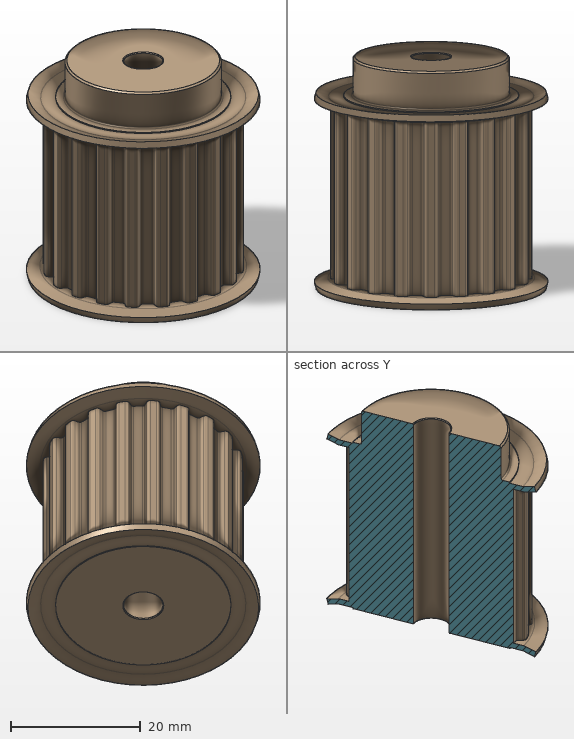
import cadquery as cq
import math

total_height = 36.27
hub_height = 5.7
body_height = total_height - hub_height

hub_radius = 12.05
hub_chamfer = 0.3
hub_root_fillet = 0.25
bore_radius = 3.0
bore_chamfer = 0.15

shoulder_radius = 13.5
shoulder_step = 0.18

flange_diameter = 36.0
flange_radius = flange_diameter / 2
flange_thickness = 1.0
flange_bend_radius = 15.92
flange_tilt = math.radians(15)
rim_rise = (flange_radius - flange_bend_radius) * math.tan(flange_tilt)
rim_depth = flange_thickness * math.cos(flange_tilt)
flange_depth = rim_depth + rim_rise
lip_radius = flange_radius - flange_thickness * math.sin(flange_tilt)
dish_depth = flange_depth - flange_thickness
dish_radius = lip_radius - dish_depth / math.tan(flange_tilt)
shoulder_top = body_height - dish_depth + shoulder_step

tooth_count = 20
tooth_pitch_angle = 360 / tooth_count
tip_radius = 15.5
groove_depth = 1.3
groove_floor_width = 1.9
groove_flank_angle = math.radians(25)
groove_root_fillet = 0.4
tooth_tip_fillet = 0.58
root_radius = tip_radius - groove_depth
belt_bottom = flange_depth
belt_height = body_height - 2 * flange_depth


def make_groove():
    """Trapezoidal groove cutter along +X, overshooting the tooth tips."""
    overshoot = 0.35
    half_floor = groove_floor_width / 2
    half_mouth = half_floor + (groove_depth + overshoot) * math.tan(groove_flank_angle)
    mouth_x = tip_radius + overshoot
    return (
        cq.Workplane("XY", origin=(0, 0, belt_bottom))
        .moveTo(root_radius, -half_floor)
        .lineTo(mouth_x, -half_mouth)
        .lineTo(mouth_x, half_mouth)
        .lineTo(root_radius, half_floor)
        .close()
        .extrude(belt_height)
        .edges("|Z and <X")
        .fillet(groove_root_fillet)
    )


def make_belt_section():
    """Cylinder with evenly spaced grooves and rounded tooth tips."""
    belt = cq.Workplane("XY", origin=(0, 0, belt_bottom)).circle(tip_radius).extrude(belt_height)
    groove = make_groove()
    for index in range(tooth_count):
        belt = belt.cut(groove.rotate((0, 0, 0), (0, 0, 1), index * tooth_pitch_angle))
    tip_edges = belt.edges("|Z").filter(
        lambda edge: math.hypot(edge.Center().x, edge.Center().y) > tip_radius - groove_depth / 4
    )
    return tip_edges.fillet(tooth_tip_fillet)


def revolve_about_z(profile):
    return profile.close().revolve(360, (0, 0, 0), (0, 1, 0))


def make_flange():
    """Upper flange plate, dished on its outer face, with the raised shoulder inside the dish."""
    inner_z = body_height - flange_depth
    dish_z = body_height - dish_depth
    return revolve_about_z(
        cq.Workplane("XZ")
        .moveTo(0, inner_z)
        .lineTo(flange_bend_radius, inner_z)
        .lineTo(flange_radius, body_height - rim_depth)
        .lineTo(lip_radius, body_height)
        .lineTo(dish_radius, dish_z)
        .lineTo(shoulder_radius, dish_z)
        .lineTo(shoulder_radius, shoulder_top)
        .lineTo(0, shoulder_top)
    )


def make_hub():
    """Plain hub with a concave root fillet and a chamfered top edge."""
    return revolve_about_z(
        cq.Workplane("XZ")
        .moveTo(0, shoulder_top)
        .lineTo(hub_radius + hub_root_fillet, shoulder_top)
        .radiusArc((hub_radius, shoulder_top + hub_root_fillet), hub_root_fillet)
        .lineTo(hub_radius, total_height - hub_chamfer)
        .lineTo(hub_radius - hub_chamfer, total_height)
        .lineTo(0, total_height)
    )


def make_bore(bottom):
    """Through-bore cutter that flares at both ends to leave chamfered mouths."""
    mouth_radius = bore_radius + bore_chamfer
    return revolve_about_z(
        cq.Workplane("XZ")
        .moveTo(0, bottom)
        .lineTo(mouth_radius, bottom)
        .lineTo(bore_radius, bottom + bore_chamfer)
        .lineTo(bore_radius, total_height - bore_chamfer)
        .lineTo(mouth_radius, total_height)
        .lineTo(0, total_height)
    )


upper_flange = make_flange()
lower_flange = upper_flange.mirror("XY").translate((0, 0, body_height))
lower_face = body_height - shoulder_top

result = (
    make_belt_section()
    .union(upper_flange)
    .union(lower_flange)
    .union(make_hub())
    .cut(make_bore(lower_face))
)